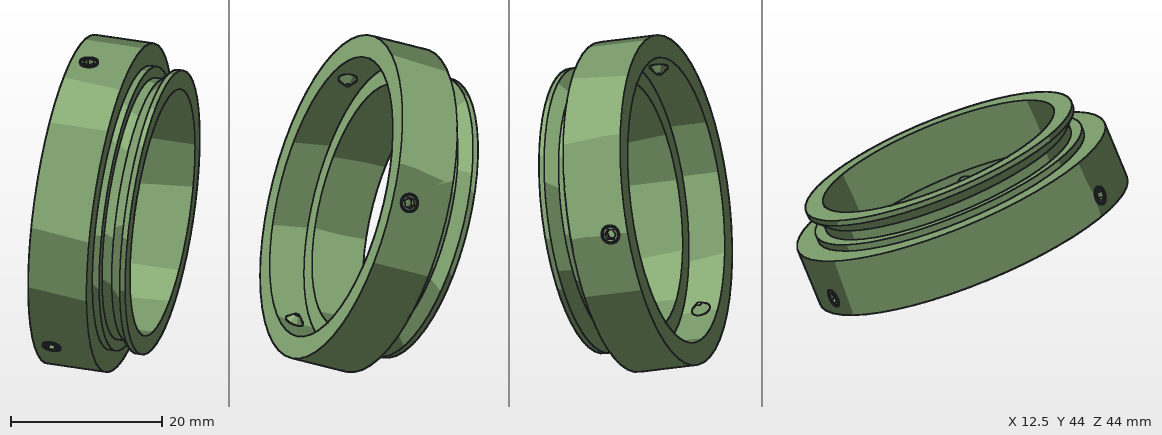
import cadquery as cq

body_diameter = 44.0
bore_diameter = 33.0
socket_diameter = 38.0
rim_diameter = socket_diameter
neck_diameter = 35.02

total_length = 12.5
body_length = 8.0
socket_depth = 5.0
shoulder_length = 0.92
neck_length = 1.3
cone_length = (rim_diameter - neck_diameter) / 2

screw_count = 3
screw_x = 2.4
screw_diameter = 2.5
screw_head_diameter = 2.05
screw_tip_diameter = 0.65
screw_tip_reach = 1.0
hex_across_corners = 1.5
head_height = 0.1
hex_depth = 1.0
hex_turn_angle = -10

body_radius = body_diameter / 2
socket_radius = socket_diameter / 2
screw_radius = screw_diameter / 2
head_radius = screw_head_diameter / 2
tip_radius = screw_tip_diameter / 2


def make_ring():
    """Revolve the ring's half section about the X axis."""
    shoulder_end = body_length + shoulder_length
    neck_end = shoulder_end + neck_length
    cone_end = neck_end + cone_length
    section = [
        (0, socket_radius),
        (0, body_radius),
        (body_length, body_radius),
        (body_length, rim_diameter / 2),
        (shoulder_end, rim_diameter / 2),
        (shoulder_end, neck_diameter / 2),
        (neck_end, neck_diameter / 2),
        (cone_end, rim_diameter / 2),
        (total_length, rim_diameter / 2),
        (total_length, bore_diameter / 2),
        (socket_depth, bore_diameter / 2),
        (socket_depth, socket_radius),
    ]
    return cq.Workplane("XY").polyline(section).close().revolve(360, (0, 0), (1, 0))


def make_screw_hole():
    """Radial hole through the socket wall, on the +Z side."""
    return (
        cq.Workplane("XY", origin=(screw_x, 0, socket_radius - screw_radius))
        .circle(screw_radius)
        .extrude(body_radius)
    )


def make_screw():
    """Cone-point set screw with a stepped head and a hex socket, on the +Z side."""
    tip_height = socket_radius - screw_tip_reach
    point_end = tip_height + screw_radius - tip_radius
    profile = [
        (0, tip_height),
        (tip_radius, tip_height),
        (screw_radius, point_end),
        (screw_radius, body_radius - head_height),
        (head_radius, body_radius - head_height),
        (head_radius, body_radius),
        (0, body_radius),
    ]
    screw = cq.Workplane("XZ").polyline(profile).close().revolve(360, (0, 0), (0, 1))
    hex_socket = (
        cq.Workplane("XY", origin=(0, 0, body_radius))
        .polygon(6, hex_across_corners)
        .extrude(-hex_depth)
        .rotate((0, 0, 0), (0, 0, 1), hex_turn_angle)
    )
    return screw.cut(hex_socket).translate((screw_x, 0, 0))


result = make_ring()
for index in range(screw_count):
    angle = index * 360 / screw_count
    hole = make_screw_hole().rotate((0, 0, 0), (1, 0, 0), angle)
    screw = make_screw().rotate((0, 0, 0), (1, 0, 0), angle)
    result = result.cut(hole).union(screw)